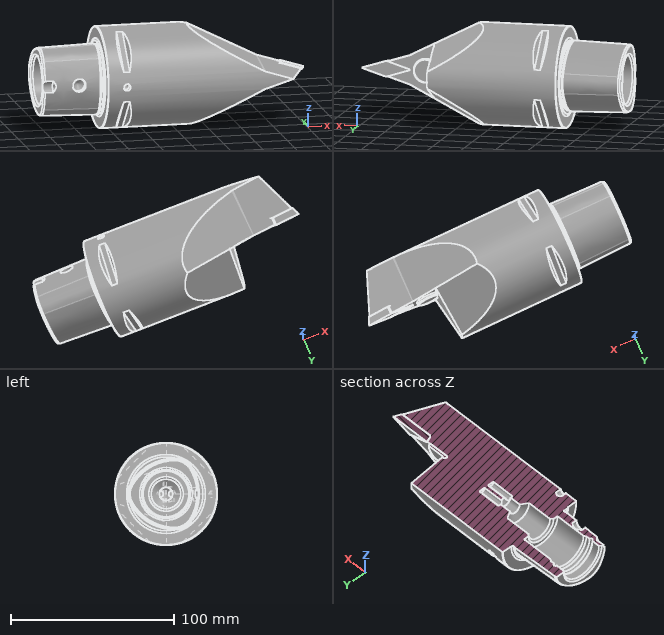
import cadquery as cq
import math

overall_length = 168.0
body_diameter = 63.0
body_radius = body_diameter / 2
flange_x = 38.1
flange_chamfer = 0.3

lobe_count = 3
lobe_center_radius = 11.0
shank_width_front = 42.0
shank_width_rear = 43.8
shank_chamfer_length = 1.2
shank_chamfer_depth = 0.5
shank_end_x = 35.6
neck_x = 36.5
neck_inset = 0.3
collar_x = 37.6
collar_small_radius = 22.7
collar_large_radius = 24.2

bore_mouth_radius = 16.1
bore_entry_radius = 15.0
bore_radius = 28.0 / 2
bore_mouth_depth = 1.2
ring_groove_x = 8.4
ring_groove_radius = 1.2
bore_cone_start = 12.5
bore_cone_end = 14.0
bore_depth = 37.0
thread_mouth_radius = 10.5
thread_radius = 9.0
thread_depth = 57.1
feed_radius = 8.0 / 2
feed_length = 8.4
drill_half_angle = 59.0
channel_diameter = 4.0
channel_offset = 3.7
channel_length = 16.8

shank_hole_x = 22.5
shank_hole_diameter = 8.0
shank_hole_depth = 3.7
key_diameter = 9.5
key_bottom_radius = 17.8
key_length = 6.0
key_half_angle = 45.0
body_hole_diameter = 4.2
body_hole_depth = 4.2

notch_x = 50.0
notch_floor_width = 3.7
notch_mouth_width = 7.9
notch_floor_radius = 27.9
notch_angles = (45, 135, 225, 315)

nose_start_x = 94.5
flank_slope = 0.51
tip_half_angle = 17.5
nose_tip_x = 167.3
relief_angle = 7.0
upper_relief_angle = 21.2
step_x = 122.5
step_lean_angle = 5.5

insert_side = 16.6
insert_thickness = 5.0
insert_rise = 0.3
insert_nose_radius = 0.4

plug_x = 127.8
plug_diameter = 15.0
plug_height = 1.8
plug_chamfer = 0.5


def drill(diameter, depth, half_angle=drill_half_angle):
    """Drilled hole with a conical end: opens at the origin and runs along +X."""
    radius = diameter / 2
    tip_x = depth + radius / math.tan(math.radians(half_angle))
    profile = cq.Workplane("XY").polyline([(0, 0), (0, radius), (depth, radius), (tip_x, 0)]).close()
    return profile.revolve(360, (0, 0, 0), (1, 0, 0))


def polar(radius, angle):
    return radius * math.cos(math.radians(angle)), radius * math.sin(math.radians(angle))


def shank_outline(plane, width):
    """Constant-width outline of small lobe arcs joined by large tangent arcs; one lobe points to +Y."""
    pitch = 360 / lobe_count
    half_arc = pitch / 4
    radius_gap = lobe_center_radius * math.sqrt(3)
    lobe_radius = (width - radius_gap) / 2
    flat_radius = (width + radius_gap) / 2

    def arc_point(center_angle, radius, angle):
        center_y, center_z = polar(lobe_center_radius, center_angle)
        offset_y, offset_z = polar(radius, angle)
        return center_y + offset_y, center_z + offset_z

    outline = plane.moveTo(*arc_point(0, lobe_radius, -half_arc))
    for index in range(lobe_count):
        lobe = index * pitch
        flat = lobe + pitch / 2
        outline = outline.threePointArc(
            arc_point(lobe, lobe_radius, lobe), arc_point(lobe, lobe_radius, lobe + half_arc)
        )
        outline = outline.threePointArc(
            arc_point(flat + 180, flat_radius, flat), arc_point(flat + 180, flat_radius, flat + half_arc)
        )
    return outline.close()


def lofted_shank(start_x, start_width, end_x, end_width):
    start = shank_outline(cq.Workplane("YZ", origin=(start_x, 0, 0)), start_width)
    return shank_outline(start.workplane(offset=end_x - start_x), end_width).loft(ruled=True)


def make_shank():
    mouth_width = shank_width_front - 2 * shank_chamfer_depth
    neck_width = shank_width_rear - 2 * neck_inset
    chamfer = lofted_shank(0, mouth_width, shank_chamfer_length, shank_width_front)
    taper = lofted_shank(shank_chamfer_length, shank_width_front, shank_end_x, shank_width_rear)
    shoulder = lofted_shank(shank_end_x, shank_width_rear, neck_x, neck_width)
    neck = lofted_shank(neck_x, neck_width, flange_x, neck_width)
    collar_profile = [
        (collar_x, 0), (collar_x, collar_small_radius), (flange_x, collar_large_radius), (flange_x, 0)
    ]
    collar = cq.Workplane("XY").polyline(collar_profile).close().revolve(360, (0, 0, 0), (1, 0, 0))
    return chamfer.union(taper).union(shoulder).union(neck).union(collar)


def nose_wedge(points, depth, relief, toward_minus_y):
    """Symmetric prism on the plane Y = 0, narrowing by the relief angle away from that plane."""
    mirrored = [(x, -z) for x, z in reversed(points) if z > 0]
    direction = (0, -1, 0) if toward_minus_y else (0, 1, 0)
    local_sign = 1 if toward_minus_y else -1
    plane = cq.Plane(origin=(0, 0, 0), xDir=(1, 0, 0), normal=direction)
    outline = [(x, local_sign * z) for x, z in points + mirrored]
    return cq.Workplane(plane).polyline(outline).close().extrude(depth, taper=relief)


def make_nose_envelope():
    """Lower and upper halves of the nose; their flanks meet on the plane Y = 0."""
    wedge_start_x = 33.6
    tip_slope = math.tan(math.radians(tip_half_angle))
    flank_end_x = nose_start_x + body_radius / flank_slope
    kink_x = (flank_slope * flank_end_x - tip_slope * nose_tip_x) / (flank_slope - tip_slope)
    start = (wedge_start_x, flank_slope * (flank_end_x - wedge_start_x))
    kink = (kink_x, tip_slope * (nose_tip_x - kink_x))
    lower = nose_wedge([start, kink, (nose_tip_x, 0)], body_radius, relief_angle, True)
    upper = nose_wedge([start, (flank_end_x, 0)], body_radius, upper_relief_angle, False)
    lean = body_radius * math.tan(math.radians(step_lean_angle))
    step_cut = (
        cq.Workplane("XY")
        .polyline([
            (step_x, 0), (step_x - lean, body_radius), (overall_length, body_radius), (overall_length, 0)
        ])
        .close()
        .extrude(body_radius, both=True)
    )
    return lower.union(upper.cut(step_cut))


def make_head():
    full_round_end_x = 75.6
    cylinder = cq.Workplane("YZ", origin=(flange_x, 0, 0)).circle(body_radius)
    cylinder = cylinder.extrude(overall_length - flange_x).faces("<X").chamfer(flange_chamfer)
    round_part = cq.Workplane("YZ").circle(body_diameter).extrude(full_round_end_x)
    return cylinder.intersect(make_nose_envelope().union(round_part))


def make_bore():
    feed_start = thread_depth + (thread_radius - feed_radius) / math.tan(math.radians(drill_half_angle))
    feed_end = feed_start + feed_length
    feed_tip = feed_end + feed_radius / math.tan(math.radians(drill_half_angle))
    thread_start = bore_depth + thread_mouth_radius - thread_radius
    profile = [
        (0, 0),
        (0, bore_mouth_radius),
        (bore_mouth_depth, bore_entry_radius),
        (bore_cone_start, bore_entry_radius),
        (bore_cone_end, bore_radius),
        (bore_depth, bore_radius),
        (bore_depth, thread_mouth_radius),
        (thread_start, thread_radius),
        (thread_depth, thread_radius),
        (feed_start, feed_radius),
        (feed_end, feed_radius),
        (feed_tip, 0),
    ]
    bore = cq.Workplane("XY").polyline(profile).close().revolve(360, (0, 0, 0), (1, 0, 0))
    channels = cq.Workplane("YZ", origin=(feed_end, 0, 0))
    channels = channels.pushPoints([(-channel_offset, 0), (channel_offset, 0)])
    groove = cq.Workplane("XY", origin=(ring_groove_x, bore_entry_radius, 0)).circle(ring_groove_radius)
    groove = groove.revolve(360, (-1.7, -bore_entry_radius, 0), (1.7, -bore_entry_radius, 0))
    return bore.union(groove).union(channels.circle(channel_diameter / 2).extrude(channel_length))


def make_side_holes():
    """Two drilled holes entering from -Y and an axial key groove in the shank mouth."""
    surface_y = (shank_width_rear - lobe_center_radius * (2 - math.sqrt(3))) / 2
    shank_hole = drill(shank_hole_diameter, shank_hole_depth).rotate((0, 0, 0), (0, 0, 1), 90)
    body_hole = drill(body_hole_diameter, body_hole_depth).rotate((0, 0, 0), (0, 0, 1), 90)
    key = drill(key_diameter, key_length, key_half_angle)
    return (
        shank_hole.translate((shank_hole_x, -surface_y, 0))
        .union(body_hole.translate((notch_x, -body_radius, 0)))
        .union(key.translate((0, -key_bottom_radius - key_diameter / 2, 0)))
    )


def make_notch(angle):
    """Flat-bottomed groove with sloping sides, tangent to the body at the given angle about X."""
    mouth = notch_mouth_width / 2
    floor = notch_floor_width / 2
    profile = [
        (notch_x - floor, notch_floor_radius),
        (notch_x + floor, notch_floor_radius),
        (notch_x + mouth, body_radius),
        (notch_x - mouth, body_radius),
    ]
    notch = cq.Workplane("XY").polyline(profile).close().extrude(body_radius, both=True)
    return notch.rotate((0, 0, 0), (1, 0, 0), angle)


def make_insert():
    """Rhombic insert with relieved flanks and rounded acute corners."""
    half_angle = math.radians(tip_half_angle)
    flank_cosine = math.cos(half_angle) * math.cos(math.radians(relief_angle))
    edge_lean = math.atan(math.tan(math.radians(relief_angle)) / math.sin(half_angle))
    tip_setback = insert_nose_radius * (1 / math.sqrt(1 - flank_cosine**2) - 1) / math.cos(edge_lean)
    sharp_tip_x = overall_length + tip_setback
    half_length = insert_side * math.cos(half_angle)
    half_width = insert_side * math.sin(half_angle)
    center_x = sharp_tip_x - half_length
    outline = [
        (sharp_tip_x, 0), (center_x, half_width), (center_x - half_length, 0), (center_x, -half_width)
    ]
    insert = cq.Workplane("XZ", origin=(0, insert_rise, 0)).polyline(outline).close()
    insert = insert.extrude(insert_thickness, taper=relief_angle)
    for end_face in (">X", "<X"):
        insert = insert.edges("not #Y").edges(end_face).fillet(insert_nose_radius)
    return insert


def make_plug():
    plug = cq.Workplane("XZ", origin=(plug_x, plug_height, 0)).circle(plug_diameter / 2)
    return plug.extrude(plug_height).faces(">Y").chamfer(plug_chamfer)


insert = make_insert()
plug = make_plug()

body = make_shank().union(make_head()).cut(make_bore()).cut(make_side_holes())
for notch_angle in notch_angles:
    body = body.cut(make_notch(notch_angle))
body = body.cut(insert).cut(plug)

result = cq.Compound.makeCompound([body.val(), insert.val(), plug.val()])